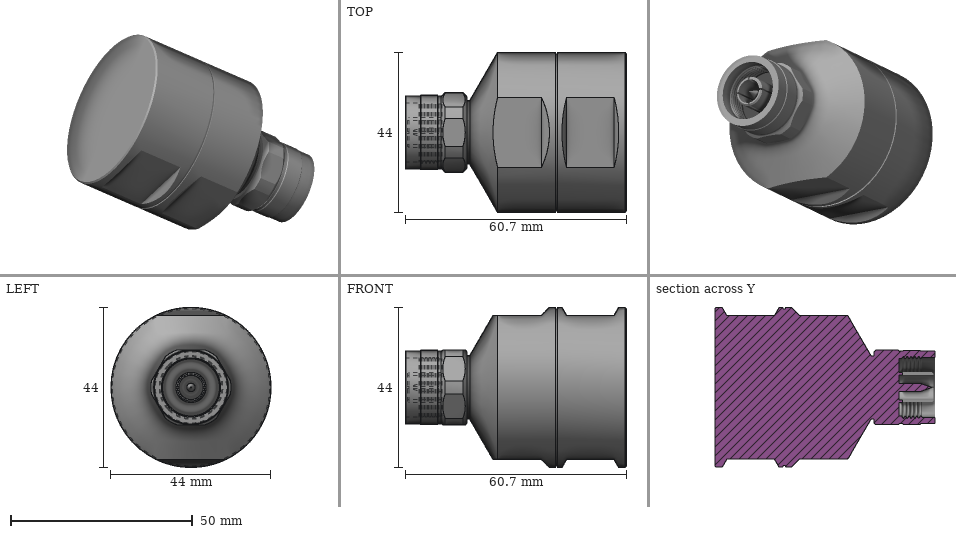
import cadquery as cq
import math


total_length = 60.7
body_radius = 22.0
neck_radius = 8.75
cone_start = 17.65
cone_angle = 60.0
cone_end = cone_start + (body_radius - neck_radius) / math.tan(math.radians(cone_angle))
body_chamfer = 0.4
joint_start = 41.2
joint_width = 0.6
joint_depth = 0.4

flat_height = 19.8
flat_depth = body_radius - flat_height
front_flat_end = 37.35
front_flat_angle = 45.0
front_flat_run = flat_depth / math.tan(math.radians(front_flat_angle))
rear_flat_start = 44.25
rear_flat_end = 57.3
rear_flat_angle = 60.0
rear_flat_run = flat_depth / math.tan(math.radians(rear_flat_angle))

sleeve_radius = 10.05
band_radius = 10.25
band_start = 4.05
band_end = 8.95
band_chamfer = 0.2

hex_start = 9.75
hex_end = 16.9
hex_sides = 6
hex_across_flats = 20.6
hex_corner_radius = 11.0
hex_end_radius = 9.8
hex_chamfer_length = 1.15

socket_depth = 10.0
socket_radius = 8.15
socket_step = 3.65
thread_minor_radius = 7.85
thread_groove_radius = 8.5
thread_pitch = 1.06
thread_count = 5
thread_crest_width = 0.2
thread_lead_in = socket_radius - thread_minor_radius

tube_tip = 0.5
tube_radius = 4.15
tube_tip_radius = 3.75
tube_bore_radius = 3.35
tube_chamfer_length = 0.4
tube_root_length = 1.0
slot_width = 0.5
slot_count = 4

pin_tip = 1.0
pin_radius = 1.15
pin_tip_radius = 0.1
pin_cone_length = 3.0


def turned(profile):
    """Revolve a closed list of (x, radius) points about the X axis."""
    return cq.Workplane("XY").polyline(profile).close().revolve(360, (0, 0, 0), (1, 0, 0))


def make_body():
    joint_end = joint_start + joint_width
    return turned([
        (socket_depth, 0),
        (socket_depth, neck_radius),
        (cone_start, neck_radius),
        (cone_end, body_radius),
        (joint_start, body_radius),
        (joint_start, body_radius - joint_depth),
        (joint_end, body_radius - joint_depth),
        (joint_end, body_radius),
        (total_length - body_chamfer, body_radius),
        (total_length, body_radius - body_chamfer),
        (total_length, 0),
    ])


def flat_cutter(outline, side):
    """Extrude an (x, z) outline across the body on the chosen Z side."""
    points = [(x, side * z) for x, z in outline]
    return cq.Workplane("XZ").polyline(points).close().extrude(body_radius, both=True)


def cut_wrench_flats(body):
    front_outline = [
        (cone_start, flat_height),
        (front_flat_end, flat_height),
        (front_flat_end + front_flat_run, body_radius),
        (cone_start, body_radius),
    ]
    rear_outline = [
        (rear_flat_start, flat_height),
        (rear_flat_end, flat_height),
        (rear_flat_end + rear_flat_run, body_radius),
        (rear_flat_start - rear_flat_run, body_radius),
    ]
    for side in (1, -1):
        body = body.cut(flat_cutter(front_outline, side))
        body = body.cut(flat_cutter(rear_outline, side))
    return body


def make_sleeve():
    return turned([
        (0, 0),
        (0, sleeve_radius),
        (band_start, sleeve_radius),
        (band_start + band_chamfer, band_radius),
        (band_end - band_chamfer, band_radius),
        (band_end, sleeve_radius),
        (hex_start, sleeve_radius),
        (hex_start, 0),
    ])


def make_hexagon():
    across_corners = hex_across_flats / math.cos(math.pi / hex_sides)
    prism = (
        cq.Workplane("YZ", origin=(hex_start, 0, 0))
        .polygon(hex_sides, across_corners)
        .extrude(hex_end - hex_start)
    )
    envelope = turned([
        (hex_start, 0),
        (hex_start, hex_end_radius),
        (hex_start + hex_chamfer_length, hex_corner_radius),
        (hex_end - hex_chamfer_length, hex_corner_radius),
        (hex_end, hex_end_radius),
        (hex_end, 0),
    ])
    return prism.intersect(envelope)


def make_socket():
    """Hollow of the sleeve: plain entry, short lead-in, then V-shaped thread grooves."""
    profile = [
        (0, 0),
        (0, socket_radius),
        (socket_step, socket_radius),
        (socket_step + thread_lead_in, thread_minor_radius),
    ]
    first_groove = socket_step + thread_lead_in + thread_crest_width
    groove_width = thread_pitch - thread_crest_width
    for index in range(thread_count):
        start = first_groove + index * thread_pitch
        profile += [
            (start, thread_minor_radius),
            (start + groove_width / 2, thread_groove_radius),
            (start + groove_width, thread_minor_radius),
        ]
    profile += [(socket_depth, thread_minor_radius), (socket_depth, 0)]
    return turned(profile)


def make_contact_tube():
    """Tube split by slots that stop short of its root."""
    root_start = socket_depth - tube_root_length
    tube = turned([
        (tube_tip, tube_bore_radius),
        (tube_tip, tube_tip_radius),
        (tube_tip + tube_chamfer_length, tube_radius),
        (socket_depth, tube_radius),
        (socket_depth, tube_bore_radius),
    ])
    slot = (
        cq.Workplane("XY", origin=(tube_tip, 0, 0))
        .box(root_start - tube_tip, 2 * tube_radius, slot_width, centered=(False, False, True))
    )
    for index in range(slot_count):
        tube = tube.cut(slot.rotate((0, 0, 0), (1, 0, 0), index * 360 / slot_count))
    return tube


def make_pin():
    return turned([
        (pin_tip, 0),
        (pin_tip, pin_tip_radius),
        (pin_tip + pin_cone_length, pin_radius),
        (socket_depth, pin_radius),
        (socket_depth, 0),
    ])


shell = cut_wrench_flats(make_body()).union(make_sleeve()).union(make_hexagon())
result = shell.cut(make_socket()).union(make_contact_tube()).union(make_pin())